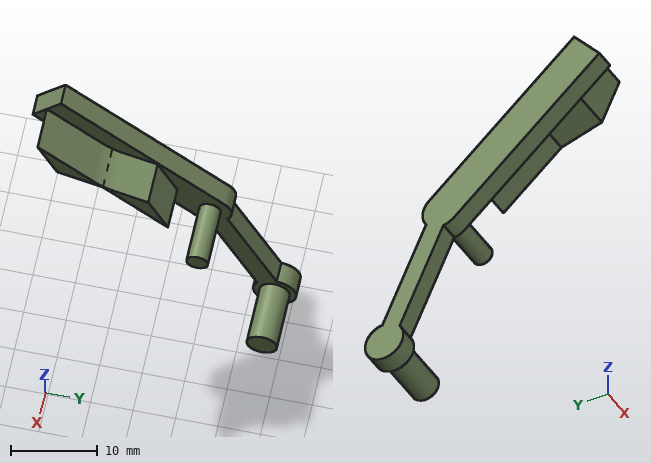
import cadquery as cq
import math

plate_thickness = 2.55
pin_tip_x = 9.65
bolt_front_x = 7.65

disc_diameter = 5.05
arm_width = disc_diameter / 2
arm_length = 18.35
arm_angle = 65.5
bar_width = disc_diameter
bar_length = 25.45
bar_angle = 41.0

pivot_pin_diameter = 3.55
elbow_pin_diameter = 2.55

bolt_edge = 10.15
bolt_side = 5.6
waist_fillet = 6.43


def travel(start, distance, angle):
    """Point reached from start, moving at an angle above the -Y direction."""
    turn = math.radians(angle)
    return (start[0] - distance * math.cos(turn), start[1] + distance * math.sin(turn))


def rounded_pin(center, diameter, height):
    """Cylinder along +X, starting on the plate's -X face."""
    return cq.Workplane("YZ").center(*center).circle(diameter / 2).extrude(height)


def strip(start, length, width, angle):
    """Flat rectangular bar whose centreline runs from start."""
    middle = travel(start, length / 2, angle)
    return (
        cq.Workplane("YZ")
        .center(*middle)
        .transformed(rotate=(0, 0, -angle))
        .rect(length, width)
        .extrude(plate_thickness)
    )


pivot = (0, 0)
elbow = travel(pivot, arm_length, arm_angle)
bar_end = travel(elbow, bar_length, bar_angle)

lever = (
    rounded_pin(pivot, disc_diameter, plate_thickness)
    .union(strip(pivot, arm_length, arm_width, arm_angle))
    .union(rounded_pin(elbow, bar_width, plate_thickness))
    .union(strip(elbow, bar_length, bar_width, bar_angle))
)

pins = rounded_pin(pivot, pivot_pin_diameter, pin_tip_x).union(
    rounded_pin(elbow, elbow_pin_diameter, pin_tip_x)
)


def bolt_boss():
    """Lightning bolt on the bar, with the upper side of its waist rounded."""
    upper_tip = bar_end
    upper_shoulder = travel(upper_tip, -bolt_side, arm_angle)
    waist = travel(upper_tip, -bolt_edge, bar_angle)
    lower_tip = travel(waist, -bolt_edge, bar_angle)
    lower_shoulder = travel(lower_tip, bolt_side, arm_angle)

    rise = lower_shoulder[1] - waist[1]
    run = lower_shoulder[0] - waist[0]
    shoulder_angle = math.degrees(math.atan2(-rise, run))
    half_turn = math.radians(bar_angle - shoulder_angle) / 2
    tangent_length = waist_fillet * math.tan(half_turn)
    fillet_start = travel(waist, -tangent_length, shoulder_angle)
    fillet_end = travel(waist, tangent_length, bar_angle)

    arc_offset = waist_fillet * (1 / math.cos(half_turn) - 1)
    bisector_angle = (bar_angle + shoulder_angle) / 2 + 90
    arc_middle = travel(waist, arc_offset, bisector_angle)

    return (
        cq.Workplane("YZ")
        .moveTo(*upper_tip)
        .lineTo(*upper_shoulder)
        .lineTo(*waist)
        .lineTo(*lower_tip)
        .lineTo(*lower_shoulder)
        .lineTo(*fillet_start)
        .threePointArc(arc_middle, fillet_end)
        .close()
        .extrude(bolt_front_x)
    )


result = lever.union(pins).union(bolt_boss())